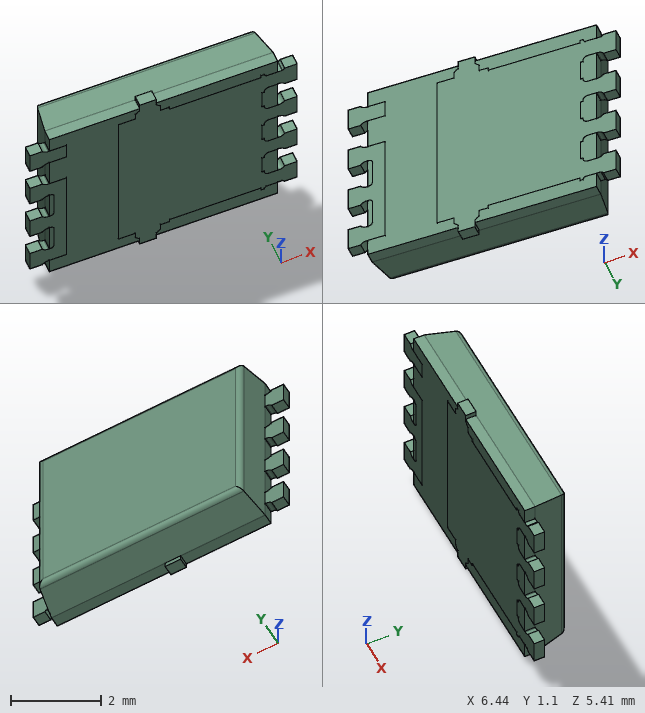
import cadquery as cq
import math


overall_length = 6.44
overall_height = 5.41
overall_thickness = 1.1
tip_x = overall_length / 2

housing_length = 5.5
housing_height = 5.145
housing_taper = 10.0
housing_edge_radius = 0.15
metal_thickness = 0.26

lead_pitch = 1.27
lead_rows = [(row - 1.5) * lead_pitch for row in range(4)]
head_half_height = 0.3
neck_half_height = 0.225
head_length = 0.3
neck_start = 0.445

inner_end = 0.89
source_bar_edge = 0.585
bay_corner_radius = 0.095
bay_half_height = lead_pitch / 2 - neck_half_height

pad_left_x = -1.08
pad_right_x = 2.37
pad_half_height = 2.23
notch_left_x = 0.15
notch_half_height = 2.15

tie_bar_x = -0.375
tie_root_half_width = 0.3
tie_end_half_width = 0.2
tie_shoulder_z = 2.395
tie_narrow_z = tie_shoulder_z + tie_root_half_width - tie_end_half_width

root_base_x = 2.35
root_flank_x = 2.43
root_half_height = 0.37
root_fillet_radius = 0.115


def plate(outline):
    """Give a closed outline in the XZ plane the thickness of the metal."""
    return outline.close().extrude(-metal_thickness)


def plate_rectangle(x_start, x_end, z_start, z_end):
    """Rectangular metal plate between two X and two Z limits."""
    corners = [(x_start, z_start), (x_end, z_start), (x_end, z_end), (x_start, z_end)]
    return plate(cq.Workplane("XZ").polyline(corners))


def lead_end(side, row_z, inner_x):
    """Head and neck of one lead; side is -1 or +1 and inner_x is where the neck stops."""
    drop = head_half_height - neck_half_height
    run = neck_start - head_length
    arc_radius = (run**2 + drop**2) / (2 * drop)
    half_angle = math.asin(run / arc_radius) / 2
    arc_mid_x = side * (tip_x - neck_start + arc_radius * math.sin(half_angle))
    arc_mid_z = neck_half_height + arc_radius * (1 - math.cos(half_angle))
    head_x = side * (tip_x - head_length)
    neck_x = side * (tip_x - neck_start)
    outline = (
        cq.Workplane("XZ", origin=(0, 0, row_z))
        .moveTo(side * tip_x, -head_half_height)
        .lineTo(side * tip_x, head_half_height)
        .lineTo(head_x, head_half_height)
        .threePointArc((arc_mid_x, arc_mid_z), (neck_x, neck_half_height))
        .lineTo(inner_x, neck_half_height)
        .lineTo(inner_x, -neck_half_height)
        .lineTo(neck_x, -neck_half_height)
        .threePointArc((arc_mid_x, -arc_mid_z), (head_x, -head_half_height))
    )
    return plate(outline)


def make_gate():
    """Single lead in the top row of the -X side."""
    return lead_end(-1, lead_rows[3], inner_end - tip_x)


def make_source():
    """Three leads of the -X side joined by a bar, with round-cornered bays between them."""
    bar_left_x = neck_start - tip_x
    bar_right_x = inner_end - tip_x
    bar_bottom = lead_rows[0] - neck_half_height
    bar_top = lead_rows[2] + neck_half_height
    source = plate_rectangle(bar_left_x, bar_right_x, bar_bottom, bar_top)
    for lower_row in lead_rows[:2]:
        bay_z = lower_row + lead_pitch / 2
        bay = plate_rectangle(
            -tip_x, source_bar_edge - tip_x, bay_z - bay_half_height, bay_z + bay_half_height
        )
        source = source.cut(bay.faces(">X").edges("|Y").fillet(bay_corner_radius))
    for row_z in lead_rows[:3]:
        source = source.union(lead_end(-1, row_z, bar_right_x))
    return source


def lead_root(row_z):
    """Widened root of a drain lead, with a concave fillet on each side of the neck."""
    neck_x = root_flank_x + root_fillet_radius
    fillet_z = neck_half_height + root_fillet_radius
    arc_offset = root_fillet_radius * math.sqrt(0.5)
    arc_mid_x = neck_x - arc_offset
    arc_mid_z = fillet_z - arc_offset
    outline = (
        cq.Workplane("XZ", origin=(0, 0, row_z))
        .moveTo(root_base_x, -root_half_height)
        .lineTo(root_flank_x, -root_half_height)
        .lineTo(root_flank_x, -fillet_z)
        .threePointArc((arc_mid_x, -arc_mid_z), (neck_x, -neck_half_height))
        .lineTo(neck_x, neck_half_height)
        .threePointArc((arc_mid_x, arc_mid_z), (root_flank_x, fillet_z))
        .lineTo(root_flank_x, root_half_height)
        .lineTo(root_base_x, root_half_height)
    )
    return plate(outline)


def make_tie_bar():
    """Bar through the pad that sticks out of the housing at the top and bottom."""
    end_z = overall_height / 2
    right_side = [
        (tie_root_half_width, tie_shoulder_z),
        (tie_end_half_width, tie_narrow_z),
        (tie_end_half_width, end_z),
    ]
    top = right_side + [(-x, z) for x, z in reversed(right_side)]
    bottom = [(-x, -z) for x, z in top]
    return plate(cq.Workplane("XZ", origin=(tie_bar_x, 0, 0)).polyline(top + bottom))


def make_drain():
    """Large pad with a tie bar and the four leads of the +X side."""
    drain = plate_rectangle(pad_left_x, pad_right_x, -notch_half_height, notch_half_height)
    drain = drain.union(
        plate_rectangle(pad_left_x, notch_left_x, -pad_half_height, pad_half_height)
    )
    drain = drain.union(make_tie_bar())

    root_limits = plate_rectangle(root_base_x, tip_x, -pad_half_height, pad_half_height)
    for row_z in lead_rows:
        drain = drain.union(lead_end(1, row_z, root_base_x))
        drain = drain.union(lead_root(row_z).intersect(root_limits))

    for side, row_z in [(-1, lead_rows[0]), (1, lead_rows[3])]:
        drain = drain.union(
            plate_rectangle(root_base_x, tip_x - head_length, row_z, side * notch_half_height)
        )
    return drain


def make_housing(leads):
    """Straight base around the leads below a tapered cover with a rounded top edge."""
    base = (
        cq.Workplane("XZ")
        .rect(housing_length, housing_height)
        .extrude(-metal_thickness)
    )
    for lead in leads:
        base = base.cut(lead)
    cover = (
        cq.Workplane("XZ", origin=(0, metal_thickness, 0))
        .rect(housing_length, housing_height)
        .extrude(metal_thickness - overall_thickness, taper=housing_taper)
        .faces(">Y")
        .edges()
        .fillet(housing_edge_radius)
    )
    return cover.union(base)


gate = make_gate()
source = make_source()
drain = make_drain()
housing = make_housing([gate, source, drain])

bodies = [body.solids().val() for body in (housing, gate, source, drain)]
result = cq.Compound.makeCompound(bodies)